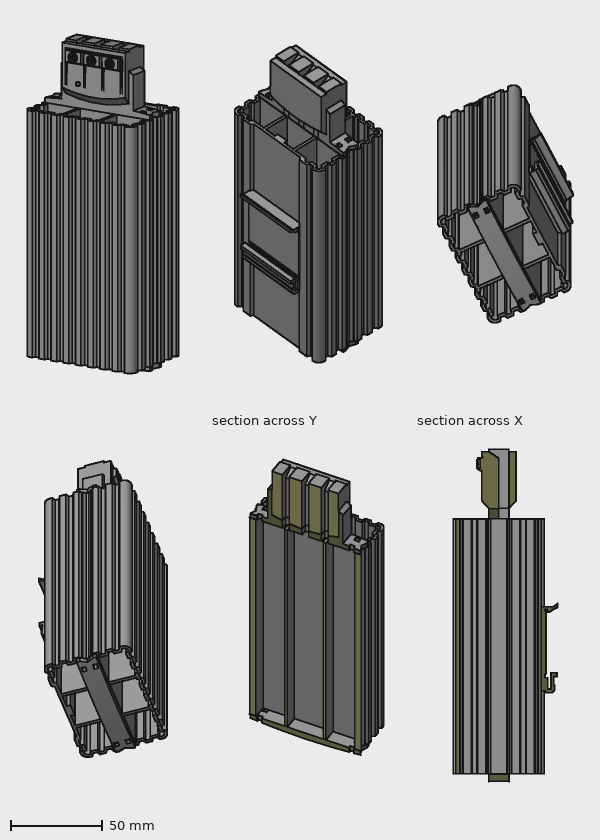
import cadquery as cq

housing_width = 70.5
housing_depth = 50.0
housing_height = 139.9
corner_radius = 4.2
wall = 1.8
groove_depth = 2.0
outer_groove_x = 28.0
front_grooves = 8
groove_pitch = 2 * outer_groove_x / (front_grooves - 1)
side_peak_y = 13.3
groove_mouth = 4.4
groove_floor = 2.2
ridge_root = 5.3
ridge_crest = 4.4

seat_mouth = 39.8
seat_floor = 37.6
seat_depth = 1.6
seat_ridge_root = 45.0
seat_ridge_crest = 42.7
seat_rib_width = 7.5
seat_rib_depth = 2.2

plate_inner_y = 4.4
plate_outer_y = 5.8
web_thickness = 1.8
web_x = 1.5 * groove_pitch
key_wall_x = 30.5
key_mouth = 8.0
key_step = 5.8
key_step_depth = 1.5
key_throat = 4.4
key_floor = 1.5
key_depth = 3.0

cap_width = 68.7
cap_depth = 11.3
cap_edge_height = 2.7
cap_mid_height = 4.5
notch_width = 7.7
notch_depth = 1.6
window_x = 28.5
window_y = 3.3
window_length = 2.7
window_width = 2.2
neck_width = 47.0
neck_shoulder_z = 24.0
neck_top_z = 25.8

block_width = 41.3
block_depth = 19.0
block_shoulder_z = 36.9
block_top_z = 38.2
ridge_depth = 11.0
belly_edge_z = 7.3
belly_mid_z = 4.4
belly_rise = 4.2
terminal_count = 3
terminal_pitch = 12.0
wire_slot_width = 4.0
wire_slot_depth = 5.5
funnel_depth = 3.7
divider_width = 1.1
divider_top_z = 34.2
divider_bottom_z = 13.5
divider_depth = 0.7
header_depth = 0.5
pad_width = 10.5
pad_top_z = 33.6
pad_bottom_z = 26.1
pad_thickness = 2.2
pad_draft = 1.1
lamp_diameter = 2.5
lamp_x = -10.5
lamp_z = 14.8
lamp_depth = 0.5

screw_diameter = 5.5
screw_z = 30.1
screw_sink = 1.5
screw_proud = 0.5
dish_diameter = 4.4
dish_depth = 0.4
drive_length = 3.5
drive_width = 1.0
drive_depth = 1.0

clip_width = 40.5
clip_back_y = 25.4
clip_pad_y = 26.0
clip_pad_bottom_z = 54.8
clip_pad_top_z = 89.5
clip_barb_z = 90.0
clip_tip_y = 32.3
clip_bottom_z = 45.5
clip_top_z = 91.7

half_width = housing_width / 2
half_depth = housing_depth / 2
terminal_xs = [(i - (terminal_count - 1) / 2) * terminal_pitch for i in range(terminal_count)]


def box(x_min, x_max, y_min, y_max, z_min, z_max):
    return (
        cq.Workplane("XY")
        .box(x_max - x_min, y_max - y_min, z_max - z_min, centered=False)
        .translate((x_min, y_min, z_min))
    )


def bar(offset, level, base_width, top_width, rise):
    """Upright trapezoid bar along the front wall, from its base on y = level to y = level + rise."""
    outline = [
        (offset - base_width / 2, level),
        (offset + base_width / 2, level),
        (offset + top_width / 2, level + rise),
        (offset - top_width / 2, level + rise),
    ]
    return cq.Workplane("XY").polyline(outline).close().extrude(housing_height)


def rounded_bar(inset):
    return (
        cq.Workplane("XY")
        .rect(housing_width - 2 * inset, housing_depth - 2 * inset)
        .extrude(housing_height)
        .edges("|Z")
        .fillet(corner_radius - inset)
    )


def groove(offset, half_size):
    return bar(offset, -half_size, groove_mouth, groove_floor, groove_depth)


def ridge(offset, half_size):
    return bar(offset, wall - half_size, ridge_root, ridge_crest, groove_depth)


def turned(shape, angle):
    return shape.rotate((0, 0, 0), (0, 0, 1), angle)


def on_each_wall(make_bar):
    """Places one kind of corrugation bar on all four walls."""
    front = [(i - (front_grooves - 1) / 2) * groove_pitch for i in range(front_grooves)]
    back = [front[0], front[-1]]
    side = [
        sign * (side_peak_y + step * groove_pitch / 2)
        for sign in (-1, 1)
        for step in (-1, 1)
    ]
    bars = [make_bar(x, half_depth) for x in front]
    bars += [turned(make_bar(x, half_depth), 180) for x in back]
    bars += [turned(make_bar(y, half_width), angle) for y in side for angle in (90, -90)]
    return bars


def make_seat():
    return turned(bar(0, -half_depth, seat_mouth, seat_floor, seat_depth), 180)


def make_key_groove():
    outline = [
        (-key_mouth / 2, -half_width),
        (-key_step / 2, key_step_depth - half_width),
        (-key_throat / 2, key_step_depth - half_width),
        (-key_floor / 2, key_depth - half_width),
        (key_floor / 2, key_depth - half_width),
        (key_throat / 2, key_step_depth - half_width),
        (key_step / 2, key_step_depth - half_width),
        (key_mouth / 2, -half_width),
    ]
    return cq.Workplane("XY").polyline(outline).close().extrude(housing_height)


def make_cavity():
    cavity = rounded_bar(wall)
    for inner_ridge in on_each_wall(ridge):
        cavity = cavity.cut(inner_ridge)
    seat_wall = bar(0, wall - half_depth, seat_ridge_root, seat_ridge_crest, seat_depth)
    cavity = cavity.cut(turned(seat_wall, 180))
    rib_y = half_depth - wall - seat_depth
    cavity = cavity.cut(
        box(-seat_rib_width / 2, seat_rib_width / 2, rib_y - seat_rib_depth, rib_y, 0, housing_height)
    )
    for side in (-1, 1):
        plate_y = sorted((side * plate_inner_y, side * plate_outer_y))
        cavity = cavity.cut(box(-half_width, half_width, *plate_y, 0, housing_height))
        key_wall = sorted((side * key_wall_x, side * half_width))
        cavity = cavity.cut(box(*key_wall, -plate_outer_y, plate_outer_y, 0, housing_height))
        web = (side * web_x - web_thickness / 2, side * web_x + web_thickness / 2)
        cavity = cavity.cut(box(*web, -half_depth, half_depth, 0, housing_height))
    return cavity


def make_housing():
    housing = rounded_bar(0).cut(make_cavity()).cut(make_seat())
    for outer_groove in on_each_wall(groove):
        housing = housing.cut(outer_groove)
    for angle in (90, -90):
        housing = housing.cut(turned(make_key_groove(), angle))
    return housing


def make_cap():
    """Crowned end plate lying on z = 0, with notched ends and four windows."""
    half = cap_width / 2
    cap = (
        cq.Workplane("XZ")
        .moveTo(-half, 0)
        .lineTo(half, 0)
        .lineTo(half, cap_edge_height)
        .threePointArc((0, cap_mid_height), (-half, cap_edge_height))
        .close()
        .extrude(cap_depth / 2, both=True)
    )
    for side in (-1, 1):
        notch = [
            (side * half, -notch_width / 2),
            (side * (half - notch_depth), 0),
            (side * half, notch_width / 2),
        ]
        cap = cap.cut(cq.Workplane("XY").polyline(notch).close().extrude(cap_mid_height))
    windows = (
        cq.Workplane("XY")
        .rect(2 * window_x, 2 * window_y, forConstruction=True)
        .vertices()
        .rect(window_length, window_width)
        .extrude(cap_mid_height)
    )
    return cap.cut(windows)


def belly_outline(y):
    """Block outline in an upright plane: curved underside, flat top."""
    half = block_width / 2
    return (
        cq.Workplane("XZ", origin=(0, y, 0))
        .moveTo(-half, block_shoulder_z)
        .lineTo(-half, belly_edge_z)
        .threePointArc((0, belly_mid_z), (half, belly_edge_z))
        .lineTo(half, block_shoulder_z)
        .close()
    )


def make_wire_slots():
    """Straight wire passages behind the centre plane, each with a sloping funnel in front."""
    slots = cq.Workplane("XY")
    funnel = [
        (0, block_shoulder_z - funnel_depth),
        (0, block_top_z),
        (-wire_slot_depth, block_top_z),
        (-wire_slot_depth, block_shoulder_z),
    ]
    for x in terminal_xs:
        x_range = (x - wire_slot_width / 2, x + wire_slot_width / 2)
        slots = slots.union(box(*x_range, 0, wire_slot_depth, 0, block_top_z))
        slots = slots.union(
            cq.Workplane("YZ", origin=(x, 0, 0))
            .polyline(funnel)
            .close()
            .extrude(wire_slot_width / 2, both=True)
        )
    return slots


def make_block_body():
    """Core with a curved underside that slants up to the front and back faces."""
    core_y = cap_depth / 2
    body = belly_outline(core_y).extrude(cap_depth)
    wing_reach = block_depth / 2 - core_y
    envelope = box(
        -block_width / 2, block_width / 2, -block_depth / 2, block_depth / 2, 0, block_shoulder_z
    )
    for side in (-1, 1):
        outline = belly_outline(side * core_y).wire().val()
        slant = cq.Vector(0, side * wing_reach, belly_rise)
        wing = cq.Workplane(cq.Solid.extrudeLinear(outline, [], slant))
        body = body.union(wing.intersect(envelope))
    half_block = block_width / 2
    top = box(
        -half_block, half_block, -ridge_depth / 2, ridge_depth / 2, block_shoulder_z, block_top_z
    )
    return body.union(top)


def make_screw_pad(x):
    """Raised pad around a screw, with its lower face drafted."""
    face_y = -block_depth / 2
    outline = [
        (face_y, pad_bottom_z),
        (face_y, pad_top_z),
        (face_y - pad_thickness, pad_top_z),
        (face_y - pad_thickness, pad_bottom_z + pad_draft),
    ]
    return (
        cq.Workplane("YZ", origin=(x, 0, 0)).polyline(outline).close().extrude(pad_width / 2, both=True)
    )


def make_divider_groove(x):
    """Narrow groove in the front face that runs out at its lower end."""
    face_y = -block_depth / 2
    outline = [
        (face_y, divider_bottom_z),
        (face_y, divider_top_z),
        (face_y + divider_depth, divider_top_z),
    ]
    return (
        cq.Workplane("YZ", origin=(x, 0, 0)).polyline(outline).close().extrude(divider_width / 2, both=True)
    )


def make_header_groove():
    """Shallow groove above the screw pads that joins the upper ends of the divider grooves."""
    half = (terminal_count * terminal_pitch + divider_width) / 2
    face_y = -block_depth / 2
    return box(-half, half, face_y, face_y + header_depth, pad_top_z, divider_top_z)


screw_face_y = -block_depth / 2 - pad_thickness


def screw_cylinder(x, front_y, length):
    return (
        cq.Workplane("XZ", origin=(x, front_y, screw_z)).circle(screw_diameter / 2).extrude(-length)
    )


def make_block():
    block = make_block_body().cut(make_wire_slots())
    for i in range(terminal_count + 1):
        block = block.cut(make_divider_groove((i - terminal_count / 2) * terminal_pitch))
    block = block.cut(make_header_groove())
    for x in terminal_xs:
        block = block.union(make_screw_pad(x))
        block = block.cut(screw_cylinder(x, screw_face_y, screw_sink))
    lamp = (
        cq.Workplane("XZ", origin=(lamp_x, -block_depth / 2, lamp_z))
        .circle(lamp_diameter / 2)
        .extrude(-lamp_depth)
    )
    return block.cut(lamp)


def make_screw(x):
    """Screw head with a cross drive in a shallow dish."""
    front_y = screw_face_y - screw_proud
    screw = screw_cylinder(x, front_y, screw_sink + screw_proud)
    drive = cq.Workplane("XZ", origin=(x, front_y, screw_z))
    screw = screw.cut(drive.circle(dish_diameter / 2).extrude(-dish_depth))
    screw = screw.cut(drive.rect(drive_length, drive_width).extrude(-drive_depth))
    return screw.cut(drive.rect(drive_width, drive_length).extrude(-drive_depth))


def make_top_cap():
    """End plate with a neck whose two ears hold the terminal block between them."""
    half = neck_width / 2
    outline = [
        (-half, 0),
        (half, 0),
        (half, neck_shoulder_z),
        (block_width / 2, neck_top_z),
        (-block_width / 2, neck_top_z),
        (-half, neck_shoulder_z),
    ]
    neck = cq.Workplane("XZ").polyline(outline).close().extrude(cap_depth / 2, both=True)
    return make_cap().union(neck).cut(make_block_body()).cut(make_wire_slots())


def make_clip():
    """Rail clip: a base in the seat, an upper hook and a springy lower hook."""
    profile = [
        (clip_back_y, clip_bottom_z),
        (25.5, 44.4),
        (29.2, 44.4),
        (30.7, 46.0),
        (30.7, 48.5),
        (30.1, 48.5),
        (30.1, 53.3),
        (32.0, 53.3),
        (32.0, 55.5),
        (28.5, 55.5),
        (28.5, 46.5),
        (26.8, 46.5),
        (26.8, 52.8),
        (clip_back_y, 52.8),
        (clip_back_y, clip_pad_bottom_z),
        (clip_pad_y, clip_pad_bottom_z),
        (clip_pad_y, clip_pad_top_z),
        (clip_back_y, clip_pad_top_z),
        (clip_back_y, clip_barb_z),
        (26.5, clip_barb_z),
        (26.8, 88.5),
        (28.3, 89.0),
        (30.0, 90.2),
        (clip_tip_y, 91.3),
        (clip_tip_y, 93.5),
        (30.0, clip_top_z),
        (half_depth, clip_top_z),
        (half_depth, clip_bottom_z),
    ]
    hooks = cq.Workplane("YZ").polyline(profile).close().extrude(clip_width / 2, both=True)
    base = make_seat().intersect(box(-half_width, half_width, 0, half_depth, clip_bottom_z, clip_top_z))
    return hooks.union(base)


housing = make_housing()
bottom_cap = make_cap().rotate((0, 0, 0), (1, 0, 0), 180)
top_cap = make_top_cap().translate((0, 0, housing_height))
terminal_block = make_block().translate((0, 0, housing_height))
screws = [make_screw(x).translate((0, 0, housing_height)) for x in terminal_xs]
rail_clip = make_clip()

result = cq.Compound.makeCompound(
    [
        housing.val(),
        bottom_cap.val(),
        top_cap.val(),
        terminal_block.val(),
        *[screw.val() for screw in screws],
        rail_clip.val(),
    ]
)